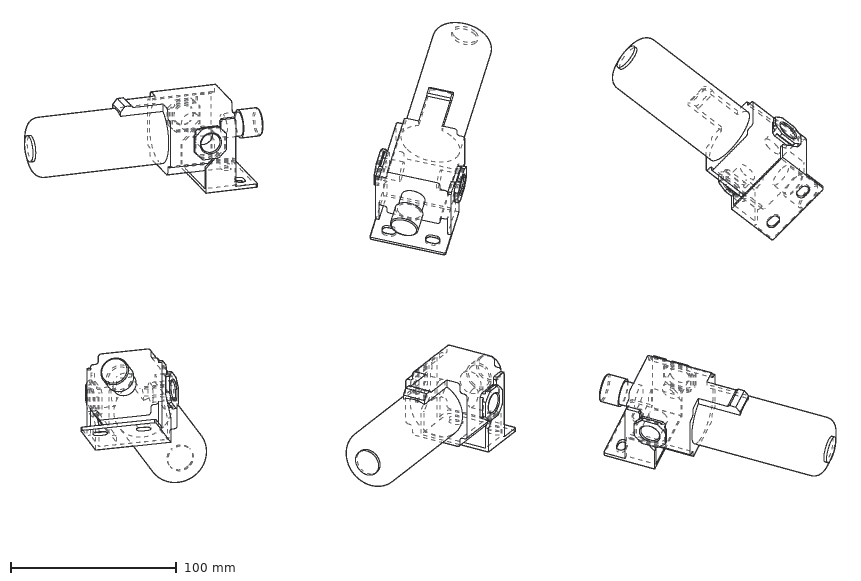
import cadquery as cq


total_length = 146.5
knob_length = 12.5
knob_neck_length = 10.1
body_length = 41.0
bowl_length = 81.2
body_front = -body_length / 2
body_back = body_length / 2
bowl_end = body_front - bowl_length
drain_length = total_length - knob_length - knob_neck_length - body_length - bowl_length

body_half_height = 21.5
step_x = 16.5
step_z = 15.1
body_side_x = 21.4
step_radius = 1.8
crest_radius = 2.0

bowl_radius = 18.3
bowl_end_radius = 6.2
drain_radius = 8.0
knob_radius = 8.6
knob_chamfer = 0.7
knob_neck_radius = 7.3

total_height = 55.7

latch_width = 14.6
latch_length = 27.0
latch_peak_z = 22.9
latch_tip_z = 19.5
latch_rise_start = 18.9
latch_peak_start = 20.2
latch_peak_end = 24.2

sheet = 2.2
bracket_half_width = body_side_x + sheet
bracket_bottom_z = latch_peak_z - total_height
tab_length = 13.9
tab_corner = 0.7
foot_depth = 19.0
foot_top_z = -16.8
ear_depth = 9.4
ear_top_z = step_z - step_radius
ear_bevel_depth = 0.7
ear_bevel_height = 1.5
slot_length = 8.8
slot_width = 5.5
slot_x = 13.6
slot_offset = 5.9

port_face_x = 26.2
port_y = body_back - 16.8
flange_size = 20.2
flange_corner = 5.1
flange_back_bevel = 0.6
port_neck_size = 16.8
port_radius = 6.0
port_chamfer = 0.7
port_depth = 14.6


def y_cylinder(radius, y_start, length):
    """Cylinder on the main axis, running toward +Y from y_start."""
    return cq.Workplane("XZ", origin=(0, y_start, 0)).circle(radius).extrude(-length)


def make_body():
    plan = cq.Workplane("XZ", origin=(0, body_back, 0))
    tall = plan.rect(2 * step_x, 2 * body_half_height).extrude(body_length)
    wide = plan.rect(2 * body_side_x, 2 * step_z).extrude(body_length)
    body = tall.edges("|Y").fillet(crest_radius).union(wide.edges("|Y").fillet(step_radius))
    for x in (-step_x, step_x):
        for z in (-step_z, step_z):
            body = body.edges(cq.NearestToPointSelector((x, 0, z))).fillet(step_radius)
    return body


def make_bowl():
    bowl = y_cylinder(bowl_radius, bowl_end, bowl_length).faces("<Y").edges().fillet(bowl_end_radius)
    drain = y_cylinder(drain_radius, bowl_end - drain_length, drain_length)
    return bowl.union(drain)


def make_knob():
    neck = y_cylinder(knob_neck_radius, body_back, knob_neck_length)
    grip = y_cylinder(knob_radius, body_back + knob_neck_length, knob_length)
    return neck.union(grip.faces(">Y").chamfer(knob_chamfer))


def make_latch():
    profile = [
        (body_front, 0),
        (body_front, body_half_height),
        (body_front - latch_rise_start, body_half_height),
        (body_front - latch_peak_start, latch_peak_z),
        (body_front - latch_peak_end, latch_peak_z),
        (body_front - latch_length, latch_tip_z),
        (body_front - latch_length, 0),
    ]
    return cq.Workplane("YZ").polyline(profile).close().extrude(latch_width / 2, both=True)


def make_bracket():
    ear_front = body_back - ear_depth
    foot_front = body_back - foot_depth
    slope_top_z = foot_top_z + foot_depth - ear_depth
    side_profile = [
        (body_back, bracket_bottom_z),
        (foot_front, bracket_bottom_z),
        (foot_front, foot_top_z),
        (ear_front, slope_top_z),
        (ear_front, ear_top_z - ear_bevel_height),
        (ear_front + ear_bevel_depth, ear_top_z),
        (body_back - ear_bevel_depth, ear_top_z),
        (body_back, ear_top_z - ear_bevel_height),
    ]
    ear = cq.Workplane("YZ", origin=(body_side_x, 0, 0)).polyline(side_profile).close().extrude(sheet)
    base_length = foot_depth + tab_length
    base = cq.Workplane("XY", origin=(0, foot_front + base_length / 2, bracket_bottom_z))
    base = base.rect(2 * bracket_half_width, base_length).extrude(sheet)
    base = base.edges("|Z and >Y").chamfer(tab_corner)
    slots = cq.Workplane("XY", origin=(0, body_back + slot_offset, bracket_bottom_z))
    slots = slots.pushPoints([(-slot_x, 0), (slot_x, 0)]).slot2D(slot_length, slot_width).extrude(sheet)
    return base.cut(slots).union(ear).union(ear.mirror("YZ"))


def port_block(size, x_start):
    """Square block along X, centred on the port, ending at the port face."""
    block = cq.Workplane("YZ", origin=(x_start, port_y, 0)).rect(size, size)
    return block.extrude(port_face_x - x_start)


def make_port():
    flange = port_block(flange_size, bracket_half_width).faces("<X").chamfer(flange_back_bevel)
    neck = port_block(port_neck_size, body_side_x)
    octagon = port_block(flange_size, body_side_x).edges("|X").chamfer(flange_corner)
    return flange.union(neck).intersect(octagon)


def make_port_hole():
    mouth_radius = port_radius + port_chamfer
    mouth_x = port_face_x - port_chamfer
    profile = [
        (port_face_x - port_depth, 0),
        (port_face_x - port_depth, port_radius),
        (mouth_x, port_radius),
        (port_face_x, mouth_radius),
        (port_face_x, 0),
    ]
    hole = cq.Workplane("XY").polyline(profile).close().revolve(360, (0, 0, 0), (1, 0, 0))
    return hole.translate((0, port_y, 0))


result = make_body().union(make_bowl()).union(make_knob()).union(make_latch()).union(make_bracket())
port = make_port()
result = result.union(port).union(port.mirror("YZ"))
hole = make_port_hole()
result = result.cut(hole).cut(hole.mirror("YZ"))